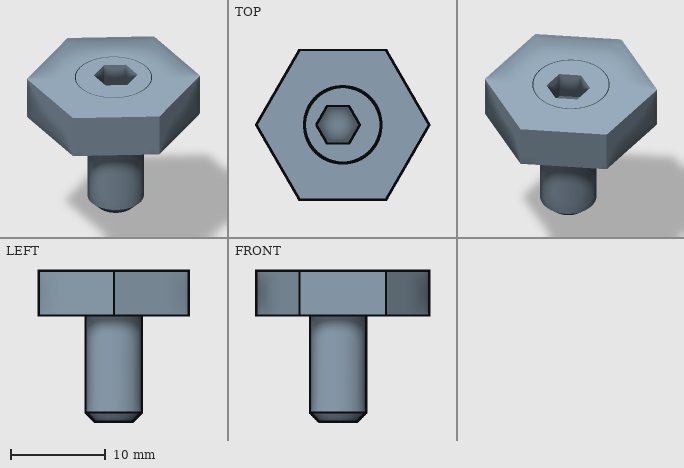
import cadquery as cq
import math

COLLAR_ACROSS_CORNERS = 18.33
COLLAR_HEIGHT = 4.75
BORE_DIAMETER = 8.2

HEAD_CLEARANCE = 0.1
HEAD_DIAMETER = BORE_DIAMETER - 2 * HEAD_CLEARANCE
SHANK_OFFSET_X = -0.5
SHANK_DIAMETER = 6.0
SHANK_LENGTH = 11.25
TIP_CHAMFER = 1.0

SOCKET_ACROSS_FLATS = 4.0
SOCKET_ACROSS_CORNERS = SOCKET_ACROSS_FLATS / math.cos(math.pi / 6)
SOCKET_DEPTH = 3.0

FLOOR_THICKNESS = 1.0


def make_collar():
    """Hexagonal collar, bored from above for the head and through its floor for the shank."""
    body = cq.Workplane("XY").polygon(6, COLLAR_ACROSS_CORNERS).extrude(COLLAR_HEIGHT)
    head_bore = (
        cq.Workplane("XY", origin=(0, 0, FLOOR_THICKNESS))
        .circle(BORE_DIAMETER / 2)
        .extrude(COLLAR_HEIGHT - FLOOR_THICKNESS)
    )
    shank_hole = (
        cq.Workplane("XY", origin=(SHANK_OFFSET_X, 0, 0))
        .circle(SHANK_DIAMETER / 2)
        .extrude(FLOOR_THICKNESS)
    )
    return body.cut(head_bore).cut(shank_hole)


def make_screw():
    """Eccentric screw with a chamfered tip and a hexagonal key socket."""
    head = (
        cq.Workplane("XY", origin=(0, 0, FLOOR_THICKNESS))
        .circle(HEAD_DIAMETER / 2)
        .extrude(COLLAR_HEIGHT - FLOOR_THICKNESS)
    )
    shank = (
        cq.Workplane("XY", origin=(SHANK_OFFSET_X, 0, -SHANK_LENGTH))
        .circle(SHANK_DIAMETER / 2)
        .extrude(SHANK_LENGTH + FLOOR_THICKNESS)
        .faces("<Z")
        .chamfer(TIP_CHAMFER)
    )
    socket = (
        cq.Workplane("XY", origin=(SHANK_OFFSET_X, 0, COLLAR_HEIGHT - SOCKET_DEPTH))
        .polygon(6, SOCKET_ACROSS_CORNERS)
        .extrude(SOCKET_DEPTH)
    )
    return head.union(shank).cut(socket)


collar = make_collar()
screw = make_screw()

result = cq.Compound.makeCompound([collar.val(), screw.val()])